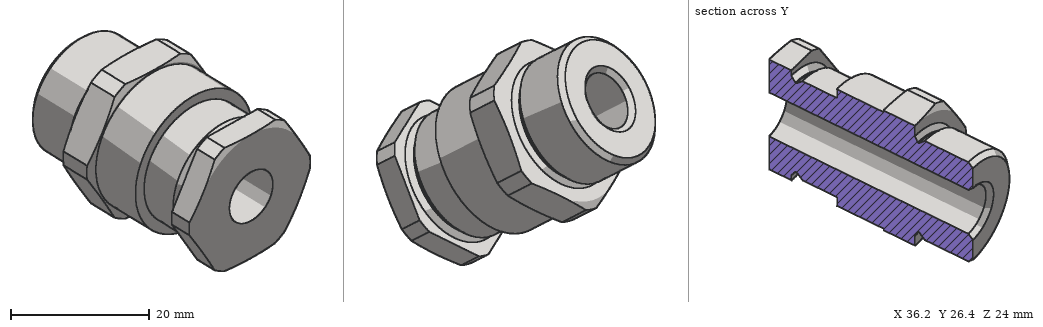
import cadquery as cq
import math

total_length = 36.2

thread_end = 8.55
hex_start = 10.3
hex_end = 15.9
body_end = 24.2
neck_end = 30.27
nut_start = 32.23

thread_diameter = 19.9
body_diameter = 23.4
bore_diameter = 8.7
end_chamfer = 0.8

groove_depth = 1.0
groove_run_in = 1.05
groove_floor = 0.18

body_hex_flats = 24.0
nut_hex_flats = 22.0
corner_ratio = 1.1
hex_chamfer_angle = math.radians(15)

thread_radius = thread_diameter / 2
body_radius = body_diameter / 2
bore_radius = bore_diameter / 2
groove_radius = thread_radius - groove_depth


def revolve_profile(points):
    """Revolve a closed (x, radius) outline about the X axis."""
    return cq.Workplane("XY").polyline(points).close().revolve(360, (0, 0, 0), (1, 0, 0))


def groove_points(start, end):
    """Relief groove from a cylinder edge to the face of the next hexagon."""
    floor_start = start + groove_run_in
    return [
        (start, thread_radius),
        (floor_start, groove_radius),
        (floor_start + groove_floor, groove_radius),
        (end, thread_radius),
    ]


def turned_core():
    """Solid of revolution running through the whole fitting."""
    return revolve_profile(
        [(0, 0), (0, thread_radius - end_chamfer), (end_chamfer, thread_radius)]
        + groove_points(thread_end, hex_start)
        + [(hex_start, body_radius), (body_end, body_radius), (body_end, thread_radius)]
        + groove_points(neck_end, nut_start)
        + [(total_length, thread_radius), (total_length, 0)]
    )


def hexagon(start, end, flats, chamfer_start):
    """Hexagon with flats facing +Z and -Z, turned corners and conical end chamfers."""
    across_corners = flats / math.cos(math.pi / 6)
    prism = (
        cq.Workplane("YZ", origin=(start, 0, 0))
        .polygon(6, across_corners)
        .extrude(end - start)
    )
    flat_radius = flats / 2
    corner_radius = flat_radius * corner_ratio
    chamfer_length = (corner_radius - flat_radius) * math.tan(hex_chamfer_angle)
    envelope = [(start, 0)]
    if chamfer_start:
        envelope += [(start, flat_radius), (start + chamfer_length, corner_radius)]
    else:
        envelope += [(start, corner_radius)]
    envelope += [(end - chamfer_length, corner_radius), (end, flat_radius), (end, 0)]
    return prism.intersect(revolve_profile(envelope))


def bore():
    """Through bore with a conical lead-in at the entry end."""
    return revolve_profile(
        [
            (0, 0),
            (0, bore_radius + end_chamfer),
            (end_chamfer, bore_radius),
            (total_length, bore_radius),
            (total_length, 0),
        ]
    )


body_hex = hexagon(hex_start, hex_end, body_hex_flats, chamfer_start=True)
nut_hex = hexagon(nut_start, total_length, nut_hex_flats, chamfer_start=False)

result = turned_core().union(body_hex).union(nut_hex).cut(bore())